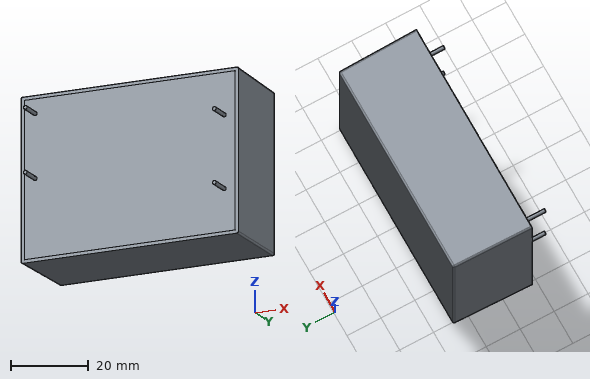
import cadquery as cq
import math

case_width = 62.0
case_height = 44.95
case_depth = 23.05
draft_angle = 1.0
edge_radius = 0.5
wall = 0.9

pin_diameter = 1.05
pin_length = 6.0
pin_x = 26.95
pin_pitch = 10.0
upper_left_pin_z = 17.55
pin_places = [
    (-pin_x, upper_left_pin_z),
    (-pin_x, 0),
    (pin_x, pin_pitch),
    (pin_x, -pin_pitch),
]


def drafted_block(width, height, depth):
    """Block from Y = 0 towards +Y whose four sides lean inwards by the draft angle."""
    inset = 2 * depth * math.tan(math.radians(draft_angle))
    return (
        cq.Workplane("XZ")
        .rect(width, height)
        .workplane(offset=-depth)
        .rect(width - inset, height - inset)
        .loft(ruled=True)
    )


def make_filling():
    """Potting block that fills the housing flush with its rim."""
    return drafted_block(case_width - 2 * wall, case_height - 2 * wall, case_depth - wall)


def make_housing(filling):
    """Open box with rounded corners and back edges, hollowed to fit the filling."""
    block = drafted_block(case_width, case_height, case_depth)
    return block.edges("not(<Y)").fillet(edge_radius).cut(filling)


def make_pin(x, z):
    """Round pin standing on the face of the filling."""
    return cq.Workplane("XZ").center(x, z).circle(pin_diameter / 2).extrude(pin_length)


filling = make_filling()
housing = make_housing(filling)
pins = [make_pin(x, z) for x, z in pin_places]

result = cq.Compound.makeCompound([housing.val(), filling.val(), *[pin.val() for pin in pins]])